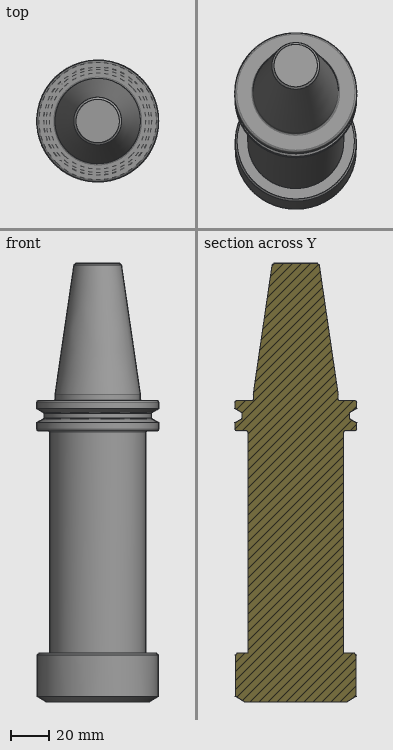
import cadquery as cq
import math

gauge_height = 160.0
taper_length = 68.25
top_height = gauge_height + taper_length

gauge_diameter = 44.45
taper_ratio = 7.0 / 24.0
taper_top_diameter = gauge_diameter - taper_ratio * taper_length
taper_top_chamfer = 1.0
collar_fillet = 0.6

flange_diameter = 63.5
flange_top = gauge_height - 3.18
flange_bottom = gauge_height - 19.05
flange_fillet = 1.0
groove_center = gauge_height - 11.1
groove_floor_diameter = 56.0
groove_rim_width = 7.3
groove_flank_angle = 30.0
groove_floor_fillet = 0.5

body_diameter = 50.0
body_fillet = 0.8

nut_diameter = 63.0
nut_height = 25.5
nut_top_chamfer = 1.0
nut_nose_diameter = 53.5
nut_nose_height = 3.0


def cylinder(diameter, bottom, top):
    """Solid cylinder on the Z axis between two heights."""
    return cq.Workplane("XY").workplane(offset=bottom).circle(diameter / 2).extrude(top - bottom)


def revolve_profile(points):
    """Solid of revolution about Z from (radius, height) points."""
    return cq.Workplane("XZ").polyline(points).close().revolve(360, (0, 0, 0), (0, 1, 0))


def flare(diameter, face_height, rise):
    """Ring-shaped fillet between a flange face and a cylinder; a negative rise runs downwards."""
    radius = diameter / 2
    size = abs(rise)
    return (
        cq.Workplane("XZ")
        .moveTo(0, face_height + rise)
        .lineTo(radius, face_height + rise)
        .radiusArc((radius + size, face_height), -rise)
        .lineTo(0, face_height)
        .close()
        .revolve(360, (0, 0, 0), (0, 1, 0))
    )


def make_shank():
    """Tapered shank with a chamfered small end, on a short collar filleted into the flange."""
    gauge_radius = gauge_diameter / 2
    taper = revolve_profile([
        (0, flange_top),
        (gauge_radius, flange_top),
        (gauge_radius, gauge_height),
        (taper_top_diameter / 2, top_height),
        (0, top_height),
    ])
    taper = taper.faces(">Z").edges().chamfer(taper_top_chamfer)
    return taper.union(flare(gauge_diameter, flange_top, collar_fillet))


def make_flange():
    """Disc with rounded outer edges and a V groove with filleted corners turned into its rim."""
    disc = cylinder(flange_diameter, flange_bottom, flange_top)

    rim_radius = flange_diameter / 2
    floor_radius = groove_floor_diameter / 2
    flank_height = (rim_radius - floor_radius) * math.tan(math.radians(groove_flank_angle))
    rim_half = groove_rim_width / 2
    floor_half = rim_half - flank_height
    groove = revolve_profile([
        (rim_radius, groove_center - rim_half),
        (floor_radius, groove_center - floor_half),
        (floor_radius, groove_center + floor_half),
        (rim_radius, groove_center + rim_half),
    ])
    grooved = disc.cut(groove)
    floor_corners = cq.selectors.RadiusNthSelector(0)
    grooved = grooved.edges("%CIRCLE").edges(floor_corners).fillet(groove_floor_fillet)
    return grooved.faces("<Z or >Z").edges().fillet(flange_fillet)


def make_body():
    """Plain cylinder between the nut and the flange, flared by a fillet under the flange."""
    body = cylinder(body_diameter, nut_height, flange_bottom)
    return body.union(flare(body_diameter, flange_bottom, -body_fillet))


def make_nut():
    """Clamping nut with a chamfered top edge and a conical nose."""
    radius = nut_diameter / 2
    return revolve_profile([
        (0, 0),
        (nut_nose_diameter / 2, 0),
        (radius, nut_nose_height),
        (radius, nut_height - nut_top_chamfer),
        (radius - nut_top_chamfer, nut_height),
        (0, nut_height),
    ])


result = make_nut().union(make_body()).union(make_flange()).union(make_shank())